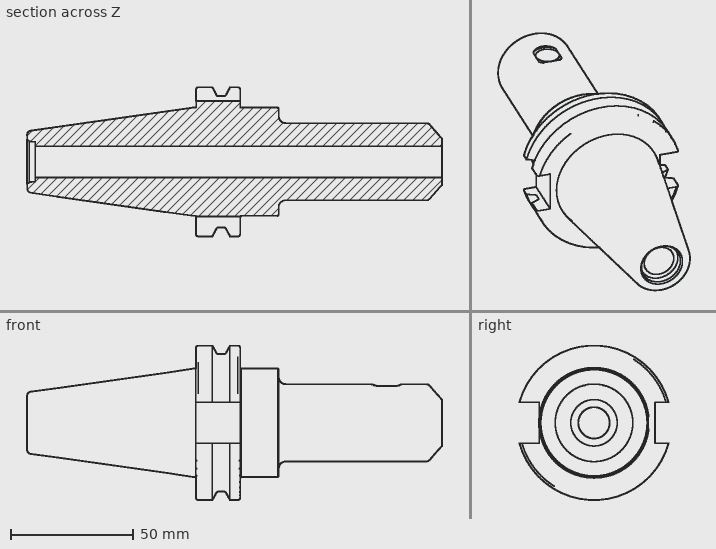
import cadquery as cq

length = 169.8
taper_end = 68.1
flange_start = 69.1
flange_end = 87.3
boss_end = 103.1
nose_length = 5.6

taper_small_radius = 12.5
body_radius = 22.3
flange_radius = 63.4 / 2
shank_radius = 31.8 / 2
nose_end_radius = 9.5

taper_rounding = 1.9
boss_foot_fillet = 0.3
boss_chamfer = 0.5
shank_fillet = 2.7
flange_rounding = 1.0
nose_rounding = 2.0
nose_lip = 0.5

groove_radius = 28.2
groove_left = 76.0
groove_right = 83.0
groove_flank_width = 1.9
groove_rounding = 0.7

slot_width = 16.6
front_slot_floor = 22.5
rear_slot_floor = 25.0

bore_diameter = 12.7
mouth_diameter = 18.0
pilot_diameter = 16.8
recess_diameter = 16.3
mouth_depth = 0.8
pilot_depth = 2.0
recess_depth = 3.4

screw_x = 147.3
screw_diameter = 9.7
spot_diameter = 12.5
spot_depth = 0.76

selection_margin = 0.08


def round_rim(body, x, radius):
    """Fillet the circular edge lying in the plane at the given X."""
    half = selection_margin
    rim = body.edges(cq.selectors.BoxSelector((x - half, -half, -half), (x + half, half, half)))
    return rim.fillet(radius)


def turned_body():
    """Solid of revolution about X, including the grooved flange."""
    nose_start = length - nose_length
    nose_cone_end = length - nose_lip
    groove_floor_start = groove_left + groove_flank_width
    groove_floor_end = groove_right - groove_flank_width
    outline = (
        cq.Workplane("XY")
        .lineTo(0, taper_small_radius)
        .lineTo(taper_end, body_radius)
        .lineTo(flange_start, body_radius)
        .lineTo(flange_start, flange_radius - flange_rounding)
        .radiusArc((flange_start + flange_rounding, flange_radius), flange_rounding)
        .lineTo(groove_left, flange_radius)
        .lineTo(groove_floor_start, groove_radius)
        .lineTo(groove_floor_end, groove_radius)
        .lineTo(groove_right, flange_radius)
        .lineTo(flange_end - flange_rounding, flange_radius)
        .radiusArc((flange_end, flange_radius - flange_rounding), flange_rounding)
        .lineTo(flange_end, body_radius + boss_foot_fillet)
        .radiusArc((flange_end + boss_foot_fillet, body_radius), -boss_foot_fillet)
        .lineTo(boss_end - boss_chamfer, body_radius)
        .lineTo(boss_end, body_radius - boss_chamfer)
        .lineTo(boss_end, shank_radius + shank_fillet)
        .radiusArc((boss_end + shank_fillet, shank_radius), -shank_fillet)
        .lineTo(nose_start, shank_radius)
        .lineTo(nose_cone_end, nose_end_radius + nose_lip)
        .lineTo(length, nose_end_radius)
        .lineTo(length, 0)
        .close()
    )
    body = outline.revolve(360, (0, 0, 0), (1, 0, 0))
    body = round_rim(body, 0, taper_rounding)
    body = round_rim(body, nose_start, nose_rounding)
    for x in (groove_floor_start, groove_floor_end):
        body = round_rim(body, x, groove_rounding)
    return body


def axial_bore():
    """Through bore with a countersunk, slightly tapering recess at the taper end."""
    outline = (
        cq.Workplane("XY")
        .lineTo(0, mouth_diameter / 2)
        .lineTo(mouth_depth, pilot_diameter / 2)
        .lineTo(pilot_depth, recess_diameter / 2)
        .lineTo(recess_depth, recess_diameter / 2)
        .lineTo(recess_depth, bore_diameter / 2)
        .lineTo(length, bore_diameter / 2)
        .lineTo(length, 0)
        .close()
    )
    return outline.revolve(360, (0, 0, 0), (1, 0, 0))


def drive_slot(side, floor):
    """Slot across the flange; side is -1 for -Y and 1 for +Y."""
    slot = cq.Workplane("XY").box(
        flange_end - flange_start, flange_radius, slot_width, centered=(False, True, True)
    )
    return slot.translate((flange_start, side * (floor + flange_radius / 2), 0))


def screw_hole():
    """Radial hole from +Z into the bore, with a shallow flat spotface."""
    axis = cq.Workplane("XY").center(screw_x, 0)
    hole = axis.circle(screw_diameter / 2).extrude(shank_radius)
    spot = axis.workplane(offset=shank_radius - spot_depth).circle(spot_diameter / 2).extrude(shank_radius)
    return hole.union(spot)


result = turned_body().cut(axial_bore()).cut(screw_hole())
for side, floor in ((-1, front_slot_floor), (1, rear_slot_floor)):
    result = result.cut(drive_slot(side, floor))